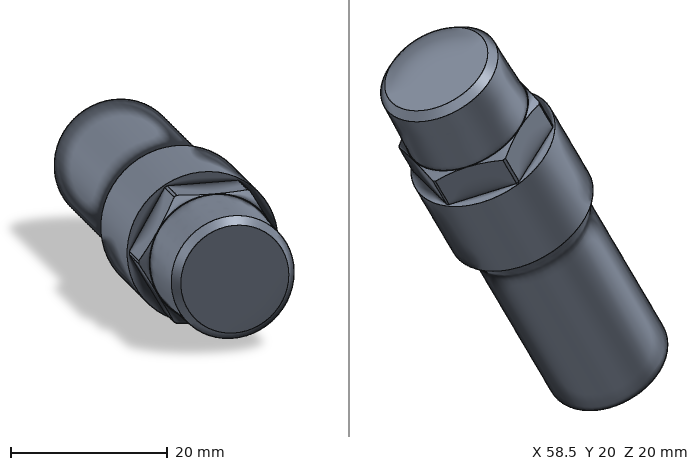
import cadquery as cq
import math

total_length = 58.5

handle_radius = 8.25
tip_flat_radius = 1.4
dome_radius = 17.55
edge_round = 2.0

collar_radius = 10.0
collar_start = 31.05
collar_end = 43.4
shoulder_angle = math.radians(30)
neck_round = 2.0

hex_across_flats = 17.0
hex_corner_radius = 9.7
hex_end = 48.55
hex_chamfer_angle = math.radians(30)

spigot_base_radius = 8.4
spigot_taper = 1 / 32
spigot_chamfer = 1.0


def point_on_circle(center, radius, angle):
    """Point at an angle measured from the +X direction."""
    return (center[0] + radius * math.cos(angle), center[1] + radius * math.sin(angle))


def make_handle_and_collar():
    dome_center = (math.sqrt(dome_radius**2 - tip_flat_radius**2), 0)
    round_height = handle_radius - edge_round
    dome_end_angle = math.pi - math.asin(round_height / (dome_radius - edge_round))
    round_center = point_on_circle(dome_center, dome_radius - edge_round, dome_end_angle)
    dome_start_angle = math.pi - math.asin(tip_flat_radius / dome_radius)
    dome_middle_angle = (dome_start_angle + dome_end_angle) / 2
    round_middle_angle = (dome_end_angle + math.pi / 2) / 2

    neck_height = handle_radius + neck_round
    neck_end_radius = neck_height - neck_round * math.cos(shoulder_angle)
    shoulder_length = (collar_radius - neck_end_radius) / math.tan(shoulder_angle)
    neck_x = collar_start - shoulder_length - neck_round * math.sin(shoulder_angle)
    neck_center = (neck_x, neck_height)
    neck_start_angle = -math.pi / 2
    neck_end_angle = neck_start_angle + shoulder_angle
    neck_middle_angle = neck_start_angle + shoulder_angle / 2

    profile = (
        cq.Workplane("XY")
        .moveTo(0, 0)
        .lineTo(0, tip_flat_radius)
        .threePointArc(
            point_on_circle(dome_center, dome_radius, dome_middle_angle),
            point_on_circle(dome_center, dome_radius, dome_end_angle),
        )
        .threePointArc(
            point_on_circle(round_center, edge_round, round_middle_angle),
            (round_center[0], handle_radius),
        )
        .lineTo(neck_x, handle_radius)
        .threePointArc(
            point_on_circle(neck_center, neck_round, neck_middle_angle),
            point_on_circle(neck_center, neck_round, neck_end_angle),
        )
        .lineTo(collar_start, collar_radius)
        .lineTo(collar_end, collar_radius)
        .lineTo(collar_end, 0)
        .close()
    )
    return profile.revolve(360, (0, 0, 0), (1, 0, 0))


def make_hexagon():
    corner_diameter = hex_across_flats / math.cos(math.pi / 6)
    prism = (
        cq.Workplane("YZ", origin=(collar_end, 0, 0))
        .polygon(6, corner_diameter)
        .extrude(hex_end - collar_end)
    )
    end_radius = hex_across_flats / 2
    chamfer_length = (hex_corner_radius - end_radius) * math.tan(hex_chamfer_angle)
    envelope = (
        cq.Workplane("XY")
        .polyline([
            (collar_end, 0),
            (collar_end, hex_corner_radius),
            (hex_end - chamfer_length, hex_corner_radius),
            (hex_end, end_radius),
            (hex_end, 0),
        ])
        .close()
        .revolve(360, (0, 0, 0), (1, 0, 0))
    )
    return prism.intersect(envelope)


def make_spigot():
    chamfer_start = total_length - spigot_chamfer
    chamfer_radius = spigot_base_radius - spigot_taper * (chamfer_start - hex_end)
    return (
        cq.Workplane("XY")
        .polyline([
            (hex_end, 0),
            (hex_end, spigot_base_radius),
            (chamfer_start, chamfer_radius),
            (total_length, chamfer_radius - spigot_chamfer),
            (total_length, 0),
        ])
        .close()
        .revolve(360, (0, 0, 0), (1, 0, 0))
    )


result = make_handle_and_collar().union(make_hexagon()).union(make_spigot())